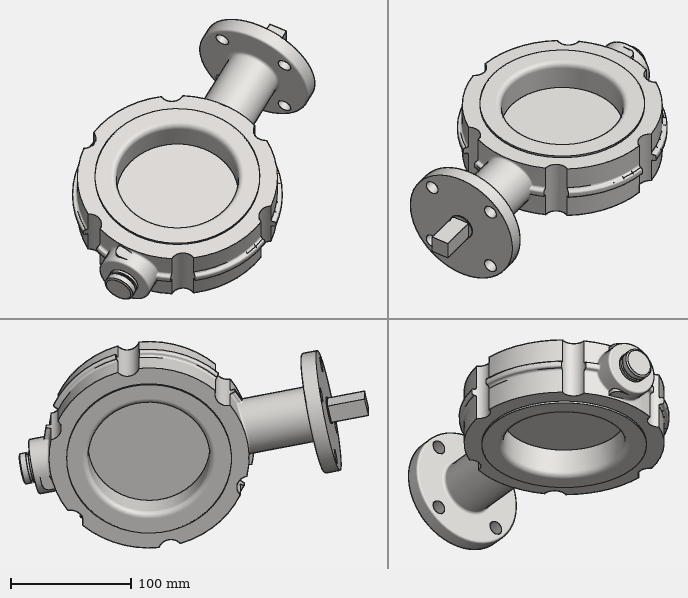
import cadquery as cq
import math


body_radius = 83.2
body_height = 50.7
face_radius = 68.5
face_height = 54.2
bore_radius = 50.7
bore_rounding = 4.7
disc_thickness = 3.0

rim_overlap = 3.0

selection_margin = 1.5

notch_count = 6
notch_radius = 10.3
notch_circle_radius = 87.5

rib_radius = 87.3
rib_half_width = 5.0
rib_crest_rounding = 1.8
rib_root_rounding = 1.9
rib_side = rib_half_width - rib_root_rounding
rib_inner_radius = body_radius - rim_overlap

neck_radius = 23.0
neck_root_rounding = 1.5
neck_top_rounding = 2.5
flange_diameter = 101.5
flange_bottom = 139.5
flange_top = 152.5
flange_rounding = 1.8
flange_hole_radius = 6.0
flange_hole_circle_radius = 41.0
flange_hole_count = 4
first_flange_hole_angle = 45
spigot_radius = 11.0
spigot_height = 1.0
stem_width = 15.5
stem_top = 184.8

boss_end = 97.8
boss_rounding = 1.5
plug_end = 108.0
plug_radius = 13.0
plug_chamfer_radial = 1.5
plug_chamfer_axial = 1.0
groove_radius = 11.0
groove_start = 100.2
groove_end = 102.2
lug_width = 12.5
lug_end = 92.5
lug_corner_radius = 6.0


def y_cylinder(radius, y_start, y_end):
    """Cylinder on the Y axis between two Y positions."""
    return cq.Workplane("XZ", origin=(0, y_start, 0)).circle(radius).extrude(y_start - y_end)


def junction_zone(y_start, y_end):
    """Select edges lying wholly within the neck's square envelope between two Y positions."""
    reach = neck_radius + selection_margin
    return cq.selectors.BoxSelector((-reach, y_start, -reach), (reach, y_end, reach), boundingbox=True)


def make_body():
    """Ribbed ring with the neck and the bottom boss blended into its rim."""
    blank = cq.Workplane("XY").circle(body_radius).extrude(body_height / 2, both=True)
    neck = y_cylinder(neck_radius, 0, flange_bottom)
    boss = y_cylinder(neck_radius, 0, -boss_end).faces("<Y").edges().fillet(boss_rounding)
    blank = blank.union(make_rib()).union(neck).union(boss)
    rim_junctions = junction_zone(-rib_radius, rib_radius)
    return blank.edges(rim_junctions).fillet(neck_root_rounding)


def make_flange():
    """Round actuator flange with bolt holes, spigot and square stem."""
    flange = y_cylinder(flange_diameter / 2, flange_bottom, flange_top)
    flange = flange.faces("<Y").edges().fillet(flange_rounding)
    flange = flange.union(y_cylinder(neck_radius, flange_bottom - 2 * neck_top_rounding, flange_bottom))
    junction = junction_zone(flange_bottom - neck_top_rounding, flange_bottom + neck_top_rounding)
    flange = flange.edges(junction).fillet(neck_top_rounding)
    for index in range(flange_hole_count):
        angle = math.radians(first_flange_hole_angle + index * 360 / flange_hole_count)
        hole = y_cylinder(flange_hole_radius, flange_bottom, flange_top).translate((
            flange_hole_circle_radius * math.cos(angle),
            0,
            flange_hole_circle_radius * math.sin(angle),
        ))
        flange = flange.cut(hole)
    spigot = y_cylinder(spigot_radius, flange_top, flange_top + spigot_height)
    stem_length = stem_top - flange_top
    stem = cq.Workplane("XY").box(stem_width, stem_length, stem_width)
    stem = stem.translate((0, flange_top + stem_length / 2, 0))
    return flange.union(spigot).union(stem)


def make_rib():
    """Ring around the rim; its section is symmetric about the mid plane."""
    crest_side = rib_side - rib_crest_rounding
    crest_start = rib_radius - rib_crest_rounding
    root_tangent = (body_radius + rib_root_rounding, rib_side)

    def on_arc(center, radius, angle):
        return (
            center[0] + radius * math.cos(math.radians(angle)),
            center[1] + radius * math.sin(math.radians(angle)),
        )

    root_middle = on_arc((root_tangent[0], rib_half_width), rib_root_rounding, 225)
    crest_middle = on_arc((crest_start, crest_side), rib_crest_rounding, 45)

    def mirrored(point):
        return (point[0], -point[1])

    section = (
        cq.Workplane("XZ")
        .moveTo(rib_inner_radius, -rib_half_width)
        .lineTo(body_radius, -rib_half_width)
        .threePointArc(mirrored(root_middle), mirrored(root_tangent))
        .lineTo(crest_start, -rib_side)
        .threePointArc(mirrored(crest_middle), (rib_radius, -crest_side))
        .lineTo(rib_radius, crest_side)
        .threePointArc(crest_middle, (crest_start, rib_side))
        .lineTo(*root_tangent)
        .threePointArc(root_middle, (body_radius, rib_half_width))
        .lineTo(rib_inner_radius, rib_half_width)
        .close()
    )
    return section.revolve(360, (0, 0, 0), (0, 1, 0))


def make_plug():
    """Bottom plug with a groove and a chamfered end, turned about Y."""
    return (
        cq.Workplane("XY")
        .polyline([
            (0, -boss_end),
            (plug_radius, -boss_end),
            (plug_radius, -groove_start),
            (groove_radius, -groove_start),
            (groove_radius, -groove_end),
            (plug_radius, -groove_end),
            (plug_radius, -plug_end + plug_chamfer_axial),
            (plug_radius - plug_chamfer_radial, -plug_end),
            (0, -plug_end),
        ])
        .close()
        .revolve(360, (0, 0, 0), (0, 1, 0))
    )


def make_lugs():
    """Flat-topped block filling one side of the boss, above and below."""
    lug_start = math.sqrt(body_radius**2 - lug_width**2) - rim_overlap
    length = lug_end - lug_start
    lugs = cq.Workplane("XY").box(lug_width, length, 2 * neck_radius)
    lugs = lugs.edges("|Z and <X and <Y").fillet(lug_corner_radius)
    return lugs.translate((-lug_width / 2, -lug_start - length / 2, 0))


valve = make_body()
notches = (
    cq.Workplane("XY")
    .polarArray(notch_circle_radius, 0, 360, notch_count)
    .circle(notch_radius)
    .extrude(body_height, both=True)
)
valve = valve.cut(notches)

raised_face = cq.Workplane("XY").circle(face_radius).extrude(face_height / 2, both=True)
bore = cq.Workplane("XY").circle(bore_radius).extrude(face_height, both=True)
valve = valve.union(raised_face).cut(bore)
bore_edge = cq.selectors.RadiusNthSelector(0)
valve = valve.faces(">Z or <Z").edges(bore_edge).fillet(bore_rounding)
disc = cq.Workplane("XY").circle(bore_radius).extrude(disc_thickness / 2, both=True)

result = valve.union(disc).union(make_flange()).union(make_plug()).union(make_lugs())